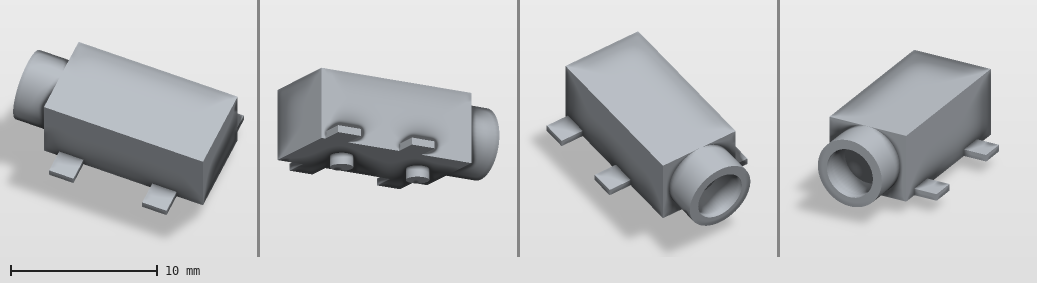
import cadquery as cq

total_length = 14.3
barrel_length = 2.5
body_length = total_length - barrel_length
body_width = 6.0
body_height = 5.0

barrel_diameter = body_height
bore_diameter = 3.6
bore_depth = barrel_length
axis_height = body_height / 2

tab_width = 1.8
tab_thickness = 0.5
tab_reach = 1.75
front_tab_centers = (4.53, 11.44)
back_tab_centers = (7.31, 13.11)

peg_diameter = 1.6
peg_height = 0.8
peg_centers = (5.0, 11.0)


def make_body():
    """Plain box behind the barrel, centred on Y = 0."""
    box = cq.Workplane("XY").box(
        body_length, body_width, body_height, centered=(False, True, False)
    )
    return box.translate((barrel_length, 0, 0))


def rod_on_socket_axis(diameter, length):
    """Cylinder on the socket axis, starting at the open end of the barrel."""
    return (
        cq.Workplane("YZ")
        .center(0, axis_height)
        .circle(diameter / 2)
        .extrude(length)
    )


def make_tab(center_x, side):
    """Solder tab on the -Y (side = -1) or +Y (side = 1) face of the body."""
    center_y = side * (body_width + tab_reach) / 2
    return (
        cq.Workplane("XY")
        .center(center_x, center_y)
        .rect(tab_width, tab_reach)
        .extrude(tab_thickness)
    )


def make_peg(center_x):
    """Round peg hanging below the bottom face."""
    return (
        cq.Workplane("XY")
        .center(center_x, 0)
        .circle(peg_diameter / 2)
        .extrude(-peg_height)
    )


result = make_body()
result = result.union(rod_on_socket_axis(barrel_diameter, barrel_length))
result = result.cut(rod_on_socket_axis(bore_diameter, bore_depth))

for side, tab_centers in ((-1, front_tab_centers), (1, back_tab_centers)):
    for tab_center in tab_centers:
        result = result.union(make_tab(tab_center, side))

for peg_center in peg_centers:
    result = result.union(make_peg(peg_center))